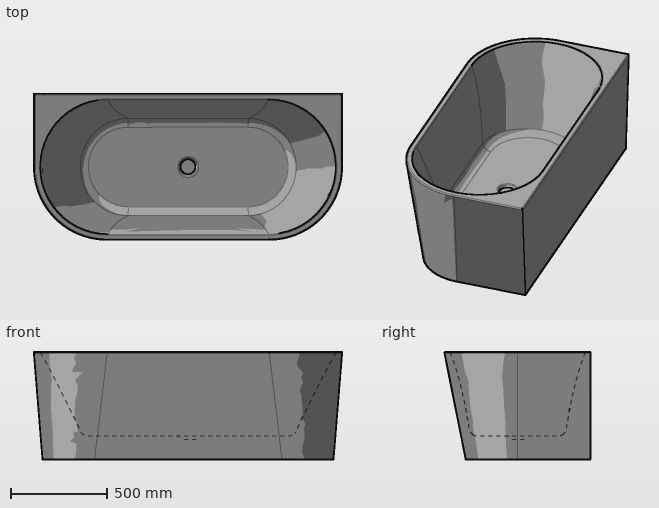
import cadquery as cq
import math

length = 1599.0
depth = 758.0
height = 560.0
base_length = 1510.0
base_depth = 648.0
center_to_back = depth / 2
edge_round = 6.0

floor_height = 123.0
floor_size = (1094.0, 493.0)
middle_height = 368.0
middle_size = (1330.0, 582.0)
rim_size = (1535.0, 700.0)
floor_round = 46.0
rim_round = 5.0

drain_top_diameter = 99.0
drain_bottom_diameter = 77.0
drain_depth = 16.0
drain_lip_round = 8.0


def rounding_loss(lean):
    """How far the top edge rounding draws in a wall that leans in by the given amount over its height."""
    lean_angle = math.atan2(lean, height)
    return edge_round * (math.tan(math.pi / 4 + lean_angle / 2) - 1)


def shell_outline(outline_length, outline_depth, z):
    """Outline with square back corners and quarter-circle front corners."""
    side = outline_length / 2
    corner_radius = outline_depth - center_to_back
    corner_center = side - corner_radius

    def straight(start, end):
        return cq.Edge.makeLine(cq.Vector(*start, z), cq.Vector(*end, z))

    def front_corner(center_x, start_angle):
        return cq.Edge.makeCircle(
            corner_radius,
            pnt=cq.Vector(center_x, 0, z),
            angle1=start_angle,
            angle2=start_angle + 90,
        )

    return cq.Wire.assembleEdges([
        straight((side, center_to_back), (-side, center_to_back)),
        straight((-side, center_to_back), (-side, 0)),
        front_corner(-corner_center, 180),
        straight((-corner_center, -corner_radius), (corner_center, -corner_radius)),
        front_corner(corner_center, 270),
        straight((side, 0), (side, center_to_back)),
    ])


def make_shell():
    sharp_length = length + 2 * rounding_loss((length - base_length) / 2)
    sharp_depth = depth + rounding_loss(depth - base_depth)
    base = shell_outline(base_length, base_depth, 0)
    top = shell_outline(sharp_length, sharp_depth, height)
    shell = cq.Workplane(cq.Solid.makeLoft([base, top], True))
    return shell.faces("<Z or >Z").edges().fillet(edge_round)


def make_basin():
    """Solid that fills the basin, with walls flaring smoothly up to the rim."""
    basin = (
        cq.Workplane(origin=(0, 0, floor_height))
        .slot2D(*floor_size)
        .workplane(offset=middle_height - floor_height)
        .slot2D(*middle_size)
        .workplane(offset=height - middle_height)
        .slot2D(*rim_size)
        .loft()
    )
    return basin.faces("<Z").edges().fillet(floor_round)


def make_drain():
    return (
        cq.Workplane(origin=(0, 0, floor_height - drain_depth))
        .circle(drain_bottom_diameter / 2)
        .workplane(offset=drain_depth)
        .circle(drain_top_diameter / 2)
        .loft()
    )


result = make_shell().cut(make_basin())

rim_edges = result.faces(">Z").wires(cq.selectors.LengthNthSelector(0)).edges()
result = rim_edges.fillet(rim_round)

result = result.cut(make_drain())
lip_center = (0, 0, floor_height)
drain_lip = result.edges("%CIRCLE").edges(cq.selectors.NearestToPointSelector(lip_center))
result = drain_lip.fillet(drain_lip_round)